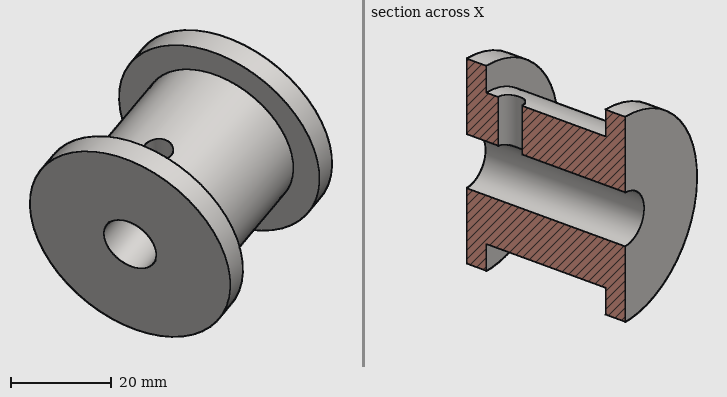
import cadquery as cq

spool_length = 40.0
flange_diameter = 46.0
flange_thickness = 5.0
barrel_diameter = 34.0
bore_diameter = 12.0

radial_hole_diameter = 6.0
radial_hole_from_front = 11.0

front_y = -spool_length / 2
back_y = spool_length / 2


def cylinder_along_y(diameter, start_y, length):
    """Solid cylinder on the Y axis, extending toward +Y from start_y."""
    return cq.Workplane(
        cq.Solid.makeCylinder(diameter / 2, length, cq.Vector(0, start_y, 0), cq.Vector(0, 1, 0))
    )


def make_spool_body():
    """Barrel with a flange at each end."""
    body = cylinder_along_y(barrel_diameter, front_y, spool_length)
    for flange_start_y in (front_y, back_y - flange_thickness):
        body = body.union(cylinder_along_y(flange_diameter, flange_start_y, flange_thickness))
    return body


def make_radial_hole():
    """Vertical cutter from the spool axis up to the top of the barrel."""
    hole_y = front_y + radial_hole_from_front
    return cq.Workplane(
        cq.Solid.makeCylinder(radial_hole_diameter / 2, barrel_diameter / 2, cq.Vector(0, hole_y, 0))
    )


bore = cylinder_along_y(bore_diameter, front_y, spool_length)
result = make_spool_body().cut(bore).cut(make_radial_hole())